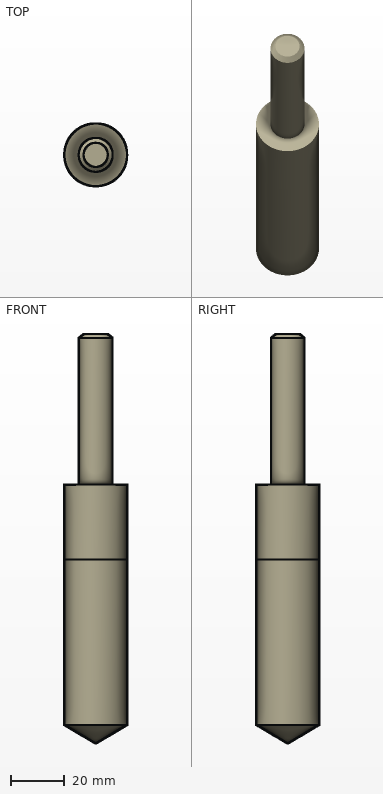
import cadquery as cq

total_length = 152.4
body_diameter = 23.5
rod_diameter = 12.6
tip_height = 7.0
joint_height = 68.6
shoulder_height = 96.3
shoulder_rise = 0.12
rod_chamfer_height = 1.5
rod_chamfer_width = 1.8

body_radius = body_diameter / 2
rod_radius = rod_diameter / 2


def revolve_profile(points):
    """Revolve a closed (radius, height) outline about the Z axis."""
    return cq.Workplane("XZ").polyline(points).close().revolve(360, (0, 0), (0, 1))


def make_tip():
    """Lower cylinder with a conical point at the origin."""
    return revolve_profile([
        (0, 0),
        (body_radius, tip_height),
        (body_radius, joint_height),
        (0, joint_height),
    ])


def make_shank():
    """Upper collar with a barely conical shoulder, and a rod chamfered at its free end."""
    return revolve_profile([
        (0, joint_height),
        (body_radius, joint_height),
        (body_radius, shoulder_height),
        (rod_radius, shoulder_height + shoulder_rise),
        (rod_radius, total_length - rod_chamfer_height),
        (rod_radius - rod_chamfer_width, total_length),
        (0, total_length),
    ])


tip = make_tip()
shank = make_shank()

result = cq.Compound.makeCompound([tip.val(), shank.val()])